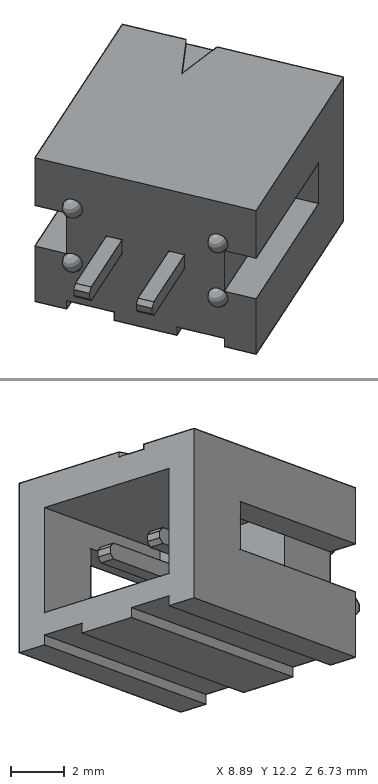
import cadquery as cq

width = 8.89
length = 8.89
height = 6.73
wall = 1.28
back_wall = 2.54

pin_count = 2
pin_pitch = 2.51
pin_size = 0.63
pin_height = 3.55
pin_projection = 3.3
pin_recess = 1.22
tip_chamfer_height = 0.18
tip_chamfer_length = 0.17

window_height = 1.9
window_length = 6.34

groove_width = 1.9
groove_depth = 0.39

bump_radius = 0.39
bump_spacing_x = 5.84
bump_spacing_z = 2.54

mark_width = 1.24
mark_length = 2.02
mark_depth = 0.2

center_x = width / 2
pin_positions = [center_x + (i - (pin_count - 1) / 2) * pin_pitch for i in range(pin_count)]


def block(size_x, size_y, size_z, x, y, z):
    """Box with its minimum corner at (x, y, z)."""
    return cq.Workplane("XY").box(size_x, size_y, size_z, centered=False).translate((x, y, z))


def make_cavity():
    """Mating cavity, open at the +Y face."""
    return block(width - 2 * wall, length - back_wall, height - 2 * wall, wall, back_wall, wall)


def make_window(x):
    """Slot through one side wall, from the back face forwards."""
    return block(wall, window_length, window_height, x, 0, pin_height - window_height / 2)


def make_groove(x):
    """Groove running the whole length of the bottom face."""
    return block(groove_width, length, groove_depth, x, 0, 0)


def make_mark():
    """Shallow triangular notch pointing from the mouth towards the first pin."""
    first_pin = pin_positions[0]
    return (
        cq.Workplane("XY", origin=(0, 0, height - mark_depth))
        .moveTo(first_pin - mark_width / 2, length)
        .lineTo(first_pin + mark_width / 2, length)
        .lineTo(first_pin, length - mark_length)
        .close()
        .extrude(mark_depth)
    )


def make_bump(x, z):
    """Hemisphere whose flat side lies on the back face, dome towards -Y."""
    ball = cq.Workplane("XY").sphere(bump_radius)
    outer_half = block(
        2 * bump_radius, bump_radius, 2 * bump_radius, -bump_radius, -bump_radius, -bump_radius
    )
    return ball.intersect(outer_half).translate((x, 0, z))


def make_pin(x):
    """Square pin with top and bottom chamfers at both tips."""
    pin_length = pin_projection + length - pin_recess
    half = pin_size / 2
    half_tip = half - tip_chamfer_height
    shoulder = pin_length / 2 - tip_chamfer_length
    tip = pin_length / 2
    profile = [
        (-tip, -half_tip), (-shoulder, -half), (shoulder, -half), (tip, -half_tip),
        (tip, half_tip), (shoulder, half), (-shoulder, half), (-tip, half_tip),
    ]
    middle_y = tip - pin_projection
    return (
        cq.Workplane("YZ", origin=(x, middle_y, pin_height))
        .polyline(profile)
        .close()
        .extrude(half, both=True)
    )


def make_housing(pins):
    """Shrouded housing with a matching hole for every pin."""
    housing = block(width, length, height, 0, 0, 0).cut(make_cavity())
    for x in (0, width - wall):
        housing = housing.cut(make_window(x))
    for x in (wall, width - wall - groove_width):
        housing = housing.cut(make_groove(x))
    housing = housing.cut(make_mark())
    for side_x in (-1, 1):
        for side_z in (-1, 1):
            bump_x = center_x + side_x * bump_spacing_x / 2
            bump_z = pin_height + side_z * bump_spacing_z / 2
            housing = housing.union(make_bump(bump_x, bump_z))
    for pin in pins:
        housing = housing.cut(pin)
    return housing


pins = [make_pin(x) for x in pin_positions]
housing = make_housing(pins)

result = cq.Compound.makeCompound([housing.val(), *[pin.val() for pin in pins]])